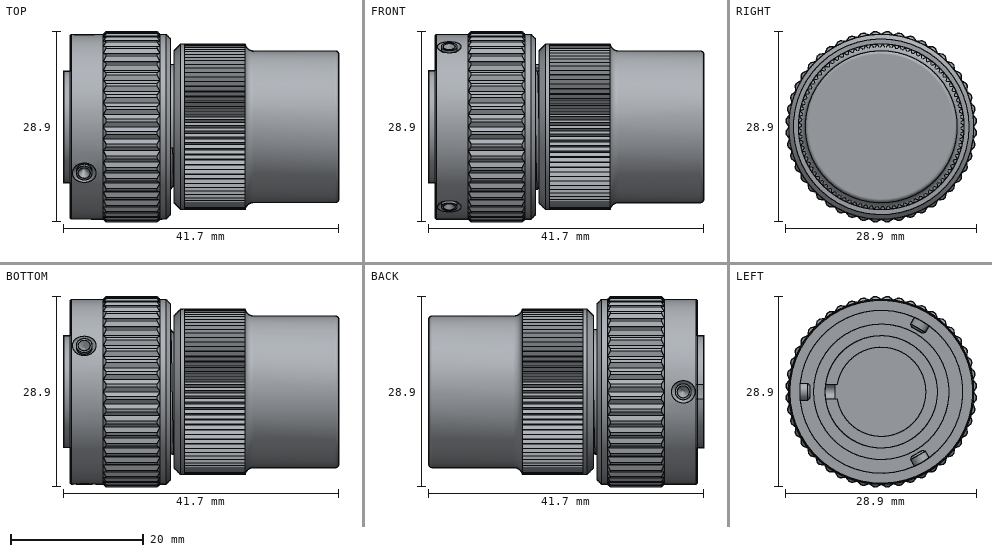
import cadquery as cq
import math


LENGTH = 41.7
SLEEVE_START = 1.0
SLEEVE_KNURL_START = 6.0
SLEEVE_KNURL_END = 14.6
SLEEVE_END = 16.2
RING_START = 16.7
RING_KNURL_START = 18.3

SLEEVE_RADIUS = 14.0
SLEEVE_BORE_RADIUS = 12.35
SLEEVE_FRONT_CHAMFER = 0.15
SLEEVE_REAR_CHAMFER = 0.7
SLEEVE_BORE_FLOOR = 13.35

TOOTH_COUNT = 48
TOOTH_PITCH_ANGLE = 360 / TOOTH_COUNT
WIDTH_OVER_TEETH = 28.85
TOOTH_TIP_WIDTH = 0.45
TOOTH_TIP_HALF_ANGLE = math.degrees(TOOTH_TIP_WIDTH / WIDTH_OVER_TEETH)
TIP_CORNER_ANGLE = TOOTH_PITCH_ANGLE / 2 - TOOTH_TIP_HALF_ANGLE
TOOTH_TIP_RADIUS = WIDTH_OVER_TEETH / 2 / math.cos(math.radians(TIP_CORNER_ANGLE))
TOOTH_END_CHAMFER = TOOTH_TIP_RADIUS - SLEEVE_RADIUS

SHELL_RADIUS = 10.25
SHELL_STEP = 1.0

INSERT_RADIUS = 8.5
INSERT_BORE_RADIUS = 6.75
INSERT_BORE_DEPTH = 3.0
KEY_SLOT_WIDTH = 2.15
KEY_SLOT_DEPTH = 5.0
KEY_SLOT_INNER_END = 7.0

PIN_COUNT = 3
PIN_X = 3.13
PIN_RADIUS = 1.3
PIN_INNER_END = 10.8
PIN_CHAMFER = 0.35
PIN_RIM_RADIUS = 1.2
COUNTERSINK_RADIUS = 1.8
COUNTERSINK_DEPTH = COUNTERSINK_RADIUS - PIN_RIM_RADIUS
PIN_DIMPLE_RADIUS = 0.9
PIN_DIMPLE_DEPTH = 1.25

NECK_RADIUS = 9.45
THREAD_PITCH = 1.0
THREAD_DEPTH = 0.63
THREAD_START_X = 16.5
THREAD_START_ANGLE = 110.0
THREAD_TURNS = 0.75

RING_RADIUS = 12.55
RING_CHAMFER = 1.0
GROOVE_COUNT = 90
GROOVE_DEPTH = 0.63
TAIL_RADIUS = 11.5
TAIL_END_FILLET = 0.55
TAIL_FILLET_RADIUS = 1.25
TAIL_FILLET_END = 28.7

X_AXIS = ((0, 0, 0), (1, 0, 0))


def cylinder(start, end, radius):
    """Solid cylinder on the X axis between two stations."""
    return cq.Workplane("YZ").workplane(offset=start).circle(radius).extrude(end - start)


def polar(radius, angle):
    """Point in the YZ plane; the angle is in degrees from +Y toward +Z."""
    return radius * math.cos(math.radians(angle)), radius * math.sin(math.radians(angle))


def around_x(shape, count):
    """Copies of a shape at equal angles about the X axis, the first one unturned."""
    return [shape.rotate(*X_AXIS, 360 / count * i) for i in range(count)]


def make_sleeve():
    sleeve = cylinder(SLEEVE_START, SLEEVE_END, SLEEVE_RADIUS)
    sleeve = sleeve.faces("<X").chamfer(SLEEVE_FRONT_CHAMFER)
    sleeve = sleeve.faces(">X").chamfer(SLEEVE_REAR_CHAMFER)

    outline = []
    for i in range(TOOTH_COUNT):
        valley = i * TOOTH_PITCH_ANGLE
        tip = valley + TOOTH_PITCH_ANGLE / 2
        outline.append(polar(SLEEVE_RADIUS, valley))
        outline.append(polar(TOOTH_TIP_RADIUS, tip - TOOTH_TIP_HALF_ANGLE))
        outline.append(polar(TOOTH_TIP_RADIUS, tip + TOOTH_TIP_HALF_ANGLE))
    teeth = (
        cq.Workplane("YZ").workplane(offset=SLEEVE_KNURL_START)
        .polyline(outline).close().extrude(SLEEVE_KNURL_END - SLEEVE_KNURL_START)
    )
    tooth_limit = cylinder(SLEEVE_KNURL_START, SLEEVE_KNURL_END, TOOTH_TIP_RADIUS)
    tooth_limit = tooth_limit.faces("<X or >X").chamfer(TOOTH_END_CHAMFER)
    sleeve = sleeve.union(teeth.intersect(tooth_limit))

    bore = cylinder(SLEEVE_START, SLEEVE_BORE_FLOOR, SLEEVE_BORE_RADIUS)
    return sleeve.cut(bore)


def make_insert():
    shell = cylinder(SLEEVE_BORE_FLOOR - SHELL_STEP, SLEEVE_BORE_FLOOR, SHELL_RADIUS)
    insert = cylinder(0, SLEEVE_BORE_FLOOR, INSERT_RADIUS).union(shell)
    insert = insert.cut(cylinder(0, INSERT_BORE_DEPTH, INSERT_BORE_RADIUS))
    half_width = KEY_SLOT_WIDTH / 2
    straight = KEY_SLOT_DEPTH - half_width
    slot = (
        cq.Workplane("XZ", origin=(0, KEY_SLOT_INNER_END, 0))
        .moveTo(0, -half_width)
        .lineTo(straight, -half_width)
        .threePointArc((KEY_SLOT_DEPTH, 0), (straight, half_width))
        .lineTo(0, half_width)
        .close()
        .extrude(KEY_SLOT_INNER_END - INSERT_RADIUS)
    )
    slot_mouth = cq.Workplane("XY").box(
        INSERT_BORE_DEPTH, KEY_SLOT_INNER_END, KEY_SLOT_WIDTH, centered=(False, False, True)
    )
    return insert.cut(slot).cut(slot_mouth)


def make_pin():
    """Pin on the +Y side, with a conical dimple in its outer end."""
    outer_end = SLEEVE_RADIUS
    shoulder = outer_end - COUNTERSINK_DEPTH
    return (
        cq.Workplane("XY")
        .moveTo(PIN_X, PIN_INNER_END)
        .lineTo(PIN_X + PIN_RADIUS - PIN_CHAMFER, PIN_INNER_END)
        .lineTo(PIN_X + PIN_RADIUS, PIN_INNER_END + PIN_CHAMFER)
        .lineTo(PIN_X + PIN_RADIUS, shoulder)
        .lineTo(PIN_X + PIN_RIM_RADIUS, shoulder)
        .lineTo(PIN_X + PIN_RIM_RADIUS, outer_end)
        .lineTo(PIN_X + PIN_DIMPLE_RADIUS, outer_end)
        .lineTo(PIN_X, outer_end - PIN_DIMPLE_DEPTH)
        .close()
        .revolve(360, (PIN_X, 0), (PIN_X, 1))
    )


def make_pin_seat():
    """Countersunk through hole for a pin on the +Y side."""
    return (
        cq.Workplane("XY")
        .moveTo(PIN_X, PIN_INNER_END)
        .lineTo(PIN_X + PIN_RIM_RADIUS, PIN_INNER_END)
        .lineTo(PIN_X + PIN_RIM_RADIUS, SLEEVE_RADIUS - COUNTERSINK_DEPTH)
        .lineTo(PIN_X + COUNTERSINK_RADIUS, SLEEVE_RADIUS)
        .lineTo(PIN_X, SLEEVE_RADIUS)
        .close()
        .revolve(360, (PIN_X, 0), (PIN_X, 1))
    )


def make_neck():
    """Neck with the first part-turn of a right-hand V thread."""
    neck = cylinder(SLEEVE_END, RING_START, NECK_RADIUS)
    start_y, start_z = polar(1, THREAD_START_ANGLE)
    plane = cq.Plane((THREAD_START_X, 0, 0), (0, start_y, start_z), (1, 0, 0))
    helix = cq.Wire.makeHelix(THREAD_PITCH, THREAD_PITCH * THREAD_TURNS, NECK_RADIUS)
    helix = helix.moved(cq.Location(plane))
    clearance = 0.1
    half_width = THREAD_PITCH / 2 * (1 + clearance / THREAD_DEPTH)
    section_plane = cq.Plane(plane.origin, plane.xDir, plane.xDir.cross(plane.zDir))
    groove = (
        cq.Workplane(section_plane)
        .polyline([
            (NECK_RADIUS - THREAD_DEPTH, 0),
            (NECK_RADIUS + clearance, half_width),
            (NECK_RADIUS + clearance, -half_width),
        ])
        .close()
        .sweep(cq.Workplane(helix), isFrenet=True)
    )
    return neck.cut(groove)


def make_ring_and_tail():
    fillet_center_radius = TAIL_RADIUS + TAIL_FILLET_RADIUS
    fillet_rise = fillet_center_radius - RING_RADIUS
    ring_end = TAIL_FILLET_END - math.sqrt(TAIL_FILLET_RADIUS**2 - fillet_rise**2)
    body = (
        cq.Workplane("XY")
        .moveTo(RING_START, 0)
        .lineTo(RING_START, RING_RADIUS - RING_CHAMFER)
        .lineTo(RING_START + RING_CHAMFER, RING_RADIUS)
        .lineTo(ring_end, RING_RADIUS)
        .radiusArc((TAIL_FILLET_END, TAIL_RADIUS), -TAIL_FILLET_RADIUS)
        .lineTo(LENGTH, TAIL_RADIUS)
        .lineTo(LENGTH, 0)
        .close()
        .revolve(360, *X_AXIS)
    )
    body = body.faces(">X").edges().fillet(TAIL_END_FILLET)

    pitch_angle = 360 / GROOVE_COUNT
    outline = []
    for i in range(GROOVE_COUNT):
        valley = (i - 1 / 4) * pitch_angle
        outline.append(polar(RING_RADIUS - GROOVE_DEPTH, valley))
        outline.append(polar(RING_RADIUS, valley + pitch_angle / 2))
    knurl_gap = (
        cq.Workplane("YZ").workplane(offset=RING_KNURL_START)
        .circle(RING_RADIUS + GROOVE_DEPTH)
        .polyline(outline).close()
        .extrude(ring_end - RING_KNURL_START)
    )
    return body.cut(knurl_gap)


sleeve = make_sleeve()
for seat in around_x(make_pin_seat(), PIN_COUNT):
    sleeve = sleeve.cut(seat)
result = sleeve.union(make_insert())
for pin in around_x(make_pin(), PIN_COUNT):
    result = result.union(pin)
result = result.union(make_neck()).union(make_ring_and_tail())